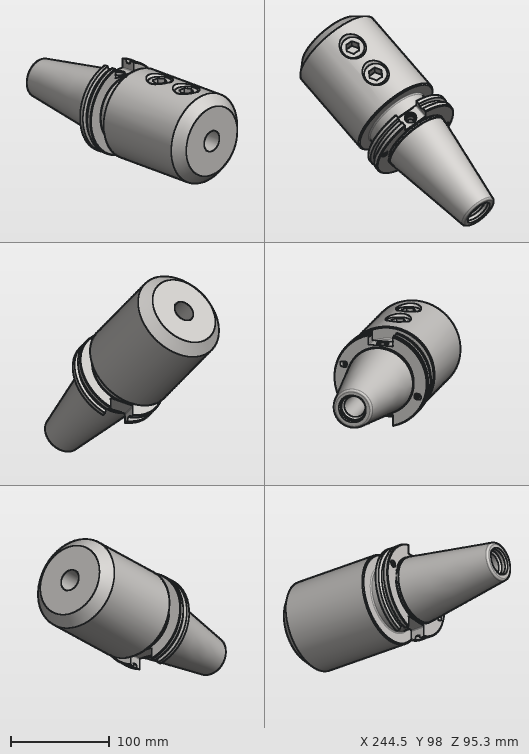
import cadquery as cq
import math


TOTAL_LENGTH = 244.5
TAPER_LENGTH = 101.2
GAUGE_DIAMETER = 70.0
TAPER_STEP_LENGTH = 0.7
TAPER_RATIO = 7 / 24
SMALL_END_FILLET = 2.5

FLANGE_DIAMETER = 98.0
FLANGE_START = 104.6
FLANGE_END = 120.5
FLANGE_CHAMFER = 0.7
GROOVE_CENTRE = 112.7
GROOVE_DEPTH = 3.5
GROOVE_TOP_WIDTH = 6.4
GROOVE_FLOOR_WIDTH = 3.7

NECK_DIAMETER = 69.5
FLANGE_ROOT_FILLET = 0.5
BODY_ROOT_FILLET = 1.2

BODY_DIAMETER = 95.3
BODY_START = 136.5
BODY_REAR_CHAMFER = 1.2
BODY_NOSE_CHAMFER = 10.8

BORE_DIAMETER = 22.0
ENTRY_DIAMETER = 26.5
ENTRY_MOUTH_DIAMETER = 28.5
ENTRY_CHAMFER_LENGTH = 2.5
ENTRY_DEPTH = 6.5

SLOT_WIDTH = 26.2
TOP_SLOT_FLOOR = 37.0
BOTTOM_SLOT_FLOOR = 35.2
SLOT_CORNER_FILLET = 0.7

SLOT_HOLE_MOUTH_DIAMETER = 12.0
SLOT_HOLE_DIAMETER = 10.0
SLOT_HOLE_DEPTH = 4.5
SLOT_DRILL_DIAMETER = 8.0
SLOT_DRILL_DEPTH = 12.2
DRILL_POINT_ANGLE = 118.0

CLAMP_SCREW_POSITIONS = (170.5, 208.3)
CLAMP_SCREW_DIAMETER = 23.5
CLAMP_SCREW_TOP = 44.7
CLAMP_SCREW_LENGTH = 19.5
CLAMP_SOCKET_FLATS = 12.7
CLAMP_SOCKET_DEPTH = 11.0

PLUG_CIRCLE_RADIUS = 41.5
PLUG_ANGLES = (20.0, 200.0)
PLUG_TILT = 35.0
PLUG_DIAMETER = 6.0
PLUG_RECESS = 2.2
PLUG_LENGTH = 6.0
PLUG_SOCKET_FLATS = 3.0
PLUG_SOCKET_DEPTH = 2.5


def revolve_about_x(points):
    """Solid of revolution about X from (x, radius) points."""
    profile = cq.Workplane("XY").polyline(points).close()
    return profile.revolve(360, (0, 0, 0), (1, 0, 0))


def ring_edges(x, radius):
    """Selector for the circular edges about X with this position and radius."""
    margin = 0.02
    outer = radius + margin
    return cq.selectors.BoxSelector(
        (x - margin, -outer, -outer), (x + margin, outer, outer), boundingbox=True
    )


def turned_blank():
    """The outside of the holder, before any hole or slot is cut."""
    small_radius = (GAUGE_DIAMETER - TAPER_LENGTH * TAPER_RATIO) / 2
    neck_radius = NECK_DIAMETER / 2
    flange_radius = FLANGE_DIAMETER / 2
    flange_edge_radius = flange_radius - FLANGE_CHAMFER
    groove_radius = flange_radius - GROOVE_DEPTH
    body_radius = BODY_DIAMETER / 2
    blank = revolve_about_x([
        (0, 0),
        (0, small_radius),
        (TAPER_LENGTH, GAUGE_DIAMETER / 2),
        (TAPER_LENGTH + TAPER_STEP_LENGTH, neck_radius),
        (FLANGE_START, neck_radius),
        (FLANGE_START, flange_edge_radius),
        (FLANGE_START + FLANGE_CHAMFER, flange_radius),
        (GROOVE_CENTRE - GROOVE_TOP_WIDTH / 2, flange_radius),
        (GROOVE_CENTRE - GROOVE_FLOOR_WIDTH / 2, groove_radius),
        (GROOVE_CENTRE + GROOVE_FLOOR_WIDTH / 2, groove_radius),
        (GROOVE_CENTRE + GROOVE_TOP_WIDTH / 2, flange_radius),
        (FLANGE_END - FLANGE_CHAMFER, flange_radius),
        (FLANGE_END, flange_edge_radius),
        (FLANGE_END, neck_radius),
        (BODY_START, neck_radius),
        (BODY_START, body_radius - BODY_REAR_CHAMFER),
        (BODY_START + BODY_REAR_CHAMFER, body_radius),
        (TOTAL_LENGTH - BODY_NOSE_CHAMFER, body_radius),
        (TOTAL_LENGTH, body_radius - BODY_NOSE_CHAMFER),
        (TOTAL_LENGTH, 0),
    ])
    blank = blank.edges(ring_edges(0, small_radius)).fillet(SMALL_END_FILLET)
    for face in (FLANGE_START, FLANGE_END):
        blank = blank.edges(ring_edges(face, neck_radius)).fillet(FLANGE_ROOT_FILLET)
    return blank.edges(ring_edges(BODY_START, neck_radius)).fillet(BODY_ROOT_FILLET)


def axial_bore():
    """Through bore with a wider, chamfered entry at the small end."""
    bore_radius = BORE_DIAMETER / 2
    entry_radius = ENTRY_DIAMETER / 2
    entry_cone_length = entry_radius - bore_radius
    return revolve_about_x([
        (0, 0),
        (0, ENTRY_MOUTH_DIAMETER / 2),
        (ENTRY_CHAMFER_LENGTH, entry_radius),
        (ENTRY_DEPTH, entry_radius),
        (ENTRY_DEPTH + entry_cone_length, bore_radius),
        (TOTAL_LENGTH, bore_radius),
        (TOTAL_LENGTH, 0),
    ])


def drive_slot(floor, side):
    """Slot across the flange; side is +1 above the axis and -1 below it."""
    start = FLANGE_START - FLANGE_ROOT_FILLET
    length = FLANGE_END + FLANGE_ROOT_FILLET - start
    height = FLANGE_DIAMETER / 2 - floor
    centre = (start + length / 2, 0, side * (floor + height / 2))
    floor_side = "<Z" if side > 0 else ">Z"
    slot = cq.Workplane("XY").box(length, SLOT_WIDTH, height)
    slot = slot.faces(floor_side).edges("|X").fillet(SLOT_CORNER_FILLET)
    return slot.translate(centre)


def slot_hole():
    """Blind tapped hole, with a 45 degree mouth and a drill point."""
    mouth_radius = SLOT_HOLE_MOUTH_DIAMETER / 2
    hole_radius = SLOT_HOLE_DIAMETER / 2
    drill_radius = SLOT_DRILL_DIAMETER / 2
    point_length = drill_radius / math.tan(math.radians(DRILL_POINT_ANGLE / 2))
    profile = cq.Workplane("XZ").polyline([
        (0, 0),
        (mouth_radius, 0),
        (hole_radius, hole_radius - mouth_radius),
        (hole_radius, -SLOT_HOLE_DEPTH),
        (drill_radius, -SLOT_HOLE_DEPTH),
        (drill_radius, -SLOT_DRILL_DEPTH),
        (0, -SLOT_DRILL_DEPTH - point_length),
    ]).close()
    hole = profile.revolve(360, (0, 0, 0), (0, 1, 0))
    return hole.translate((GROOVE_CENTRE, 0, TOP_SLOT_FLOOR))


def clamp_screw_seat(x):
    """Hole for one clamping screw, with a 45 degree countersink above the screw."""
    radius = CLAMP_SCREW_DIAMETER / 2
    sink_depth = BODY_DIAMETER / 2 - CLAMP_SCREW_TOP
    top = cq.Workplane("XY", origin=(x, 0, CLAMP_SCREW_TOP))
    shaft = top.circle(radius).extrude(-CLAMP_SCREW_LENGTH)
    sink = top.circle(radius).extrude(sink_depth, taper=-45)
    return shaft.union(sink)


def socket_screw(top, diameter, length, flats, socket_depth):
    """Headless screw below a workplane, with a hexagon socket whose flats face the local X axis."""
    screw = top.circle(diameter / 2).extrude(-length)
    across_corners = flats / math.cos(math.radians(30))
    socket = top.transformed(rotate=(0, 0, 90)).polygon(6, across_corners).extrude(-socket_depth)
    return screw.cut(socket)


def clamp_screw(x):
    top = cq.Workplane("XY", origin=(x, 0, CLAMP_SCREW_TOP))
    return socket_screw(
        top, CLAMP_SCREW_DIAMETER, CLAMP_SCREW_LENGTH, CLAMP_SOCKET_FLATS, CLAMP_SOCKET_DEPTH
    )


def plug_plane(angle, depth):
    """Plane across a coolant hole, this deep along it, with its normal pointing out of the hole."""
    turn = math.radians(angle)
    tilt = math.radians(PLUG_TILT)
    outward = cq.Vector(0, math.cos(turn), math.sin(turn))
    normal = cq.Vector(-math.cos(tilt), 0, 0) + outward * math.sin(tilt)
    mouth = cq.Vector(FLANGE_START, 0, 0) + outward * PLUG_CIRCLE_RADIUS
    tangent = cq.Vector(0, -math.sin(turn), math.cos(turn))
    return cq.Workplane(cq.Plane(mouth - normal * depth, tangent, normal))


def plug_hole(angle):
    """Inclined blind hole in the flange, as deep as its plug screw reaches."""
    overshoot = PLUG_DIAMETER
    start = plug_plane(angle, -overshoot)
    return start.circle(PLUG_DIAMETER / 2).extrude(-(overshoot + PLUG_RECESS + PLUG_LENGTH))


def plug_screw(angle):
    top = plug_plane(angle, PLUG_RECESS)
    return socket_screw(top, PLUG_DIAMETER, PLUG_LENGTH, PLUG_SOCKET_FLATS, PLUG_SOCKET_DEPTH)


def holder_body():
    body = turned_blank()
    body = body.cut(axial_bore())
    body = body.cut(drive_slot(TOP_SLOT_FLOOR, 1))
    body = body.cut(drive_slot(BOTTOM_SLOT_FLOOR, -1))
    body = body.cut(slot_hole())
    for x in CLAMP_SCREW_POSITIONS:
        body = body.cut(clamp_screw_seat(x))
    for angle in PLUG_ANGLES:
        body = body.cut(plug_hole(angle))
    return body


holder = holder_body()
clamp_screws = [clamp_screw(x) for x in CLAMP_SCREW_POSITIONS]
plug_screws = [plug_screw(angle) for angle in PLUG_ANGLES]

result = cq.Compound.makeCompound(
    [holder.val()]
    + [screw.val() for screw in clamp_screws]
    + [screw.val() for screw in plug_screws]
)